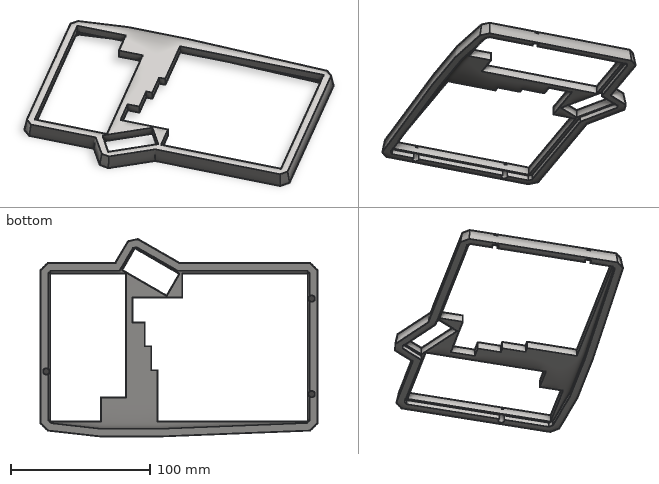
import cadquery as cq

length = 199.0
depth = 141.9
height = 9.8
draft_angle = 10.0

corner_cut = 5.4
front_y = 17.1
shoulder_y = 137.7
crest_left_x = 42.8
crest_right_x = 87.5

thumb_angle = 30.0
thumb_left_x = 53.7
thumb_right_x = 99.7
thumb_tip_left = (62.9, 1.5)
thumb_tip_right = (69.8, 0.0)
thumb_window_length = 36.8
thumb_window_width = 18.1
thumb_window_center = (79.2, 23.7)

window_front_y = 24.9
window_back_y = 131.0
left_window_x = 7.2
left_window_step = (43.4, 113.8)
left_window_right_x = 61.3
right_window_x = length - left_window_x
right_window_notch = (101.9, 42.2)
right_window_rows = [(66.3, 59.9), (75.0, 77.0), (79.6, 94.1), (84.2, window_back_y)]

recess_margin = 5.5
recess_depth = 3.8

screw_diameter = 4.5
screw_depth = 8.8
screw_inset = 4.2
left_screw_y = 95.1
right_screw_ys = [42.8, 111.5]

outline_points = [
    (0, front_y + corner_cut),
    (corner_cut, front_y),
    (thumb_left_x, front_y),
    thumb_tip_left,
    thumb_tip_right,
    (thumb_right_x, front_y),
    (length - corner_cut, front_y),
    (length, front_y + corner_cut),
    (length, shoulder_y - corner_cut),
    (length - corner_cut, shoulder_y),
    (crest_right_x, depth),
    (crest_left_x, depth),
    (corner_cut, shoulder_y),
    (0, shoulder_y - corner_cut),
]


def outline():
    return cq.Workplane("XY").polyline(outline_points).close()


def prism(points):
    return cq.Workplane("XY").polyline(points).close().extrude(height)


def left_window():
    step_x, step_y = left_window_step
    return prism([
        (left_window_x, window_front_y),
        (left_window_right_x, window_front_y),
        (left_window_right_x, step_y),
        (step_x, step_y),
        (step_x, window_back_y),
        (left_window_x, window_back_y),
    ])


def right_window():
    notch_x, notch_y = right_window_notch
    points = [
        (right_window_x, window_back_y),
        (right_window_x, window_front_y),
        (notch_x, window_front_y),
        (notch_x, notch_y),
    ]
    row_start_y = notch_y
    for row_x, row_end_y in right_window_rows:
        points += [(row_x, row_start_y), (row_x, row_end_y)]
        row_start_y = row_end_y
    return prism(points)


def thumb_window():
    return (
        cq.Workplane("XY")
        .rect(thumb_window_length, thumb_window_width)
        .extrude(height)
        .rotate((0, 0, 0), (0, 0, 1), thumb_angle)
        .translate(thumb_window_center + (0,))
    )


def screw_holes():
    centers = [(screw_inset, left_screw_y)]
    centers += [(length - screw_inset, y) for y in right_screw_ys]
    return cq.Workplane("XY").pushPoints(centers).circle(screw_diameter / 2).extrude(screw_depth)


body = outline().extrude(height, taper=draft_angle)
recess = outline().offset2D(-recess_margin, "intersection").extrude(recess_depth)

result = body.cut(recess)
for cutter in (left_window(), right_window(), thumb_window(), screw_holes()):
    result = result.cut(cutter)